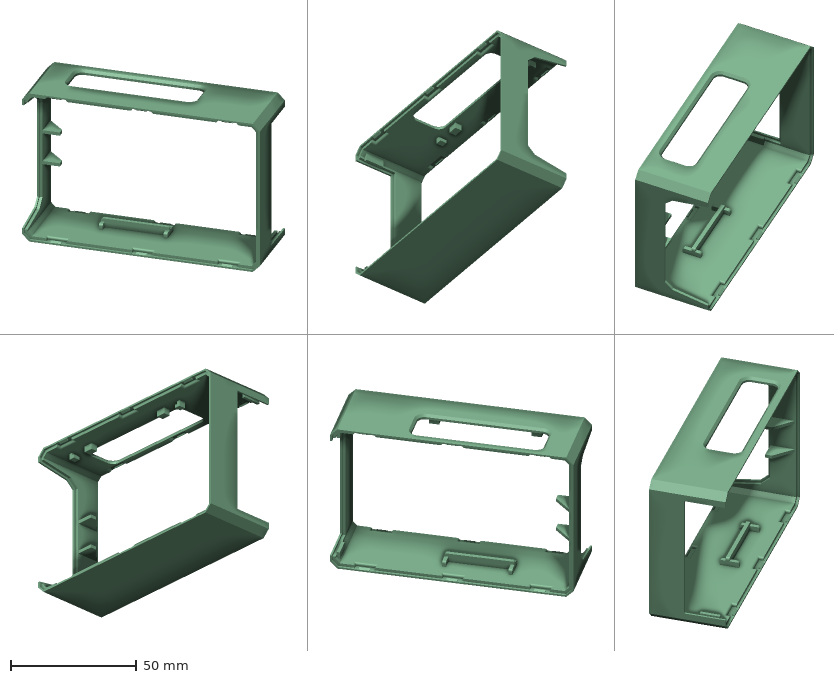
import cadquery as cq
import math

LENGTH_X = 100.0
DEPTH_Y = 32.0
HEIGHT_Z = 65.0
WALL = 2.0
CORNER_CHAMFER = 3.0

INNER_X = LENGTH_X / 2 - WALL
INNER_Z = HEIGHT_Z / 2 - WALL
RIM_Y = DEPTH_Y / 2
OVERLAP = 0.3

LIP = 0.77
REBATE_DEPTH = 1.0

WINDOW_CENTER_X = -8.95
WINDOW_CENTER_Y = 4.5
WINDOW_LENGTH = 54.2
WINDOW_WIDTH = 15.1
WINDOW_RADIUS = 3.2
WINDOW_CHAMFER = 1.0
WINDOW_FLARE_ANGLE = 45.0

LEFT_OPENING_BACK_Y = 3.0
LEFT_OPENING_BACK_HALF_Z = 21.4
LEFT_OPENING_CORNER_Y = -0.4
LEFT_OPENING_CORNER_HALF_Z = 24.5
LEFT_OPENING_RIM_HALF_Z = 27.0

RIGHT_OPENING_FRONT_Y = -1.3
RIGHT_OPENING_HALF_Z = 26.7

POCKET_POSITIONS_X = (-36.0, 0.0, 36.0)
POCKET_WIDTH = 8.2
POCKET_REACH = 2.8
POCKET_DEPTH = 1.35
POCKET_FILLET = 0.9
CATCH_WIDTH = 4.5
CATCH_HEIGHT = 0.65

HOLDER_CENTER_X = -8.5
HOLDER_LENGTH = 28.8
HOLDER_CENTER_Y = 3.1
HOLDER_BAR_THICKNESS = 1.6
HOLDER_BAR_HEIGHT = 3.85
HOLDER_FILLET = 1.0
FOOT_CENTER_Y = 3.8
FOOT_LENGTH = 8.1
FOOT_WIDTH = 1.6
FOOT_HEIGHT = 2.4

RIB_CENTERS_Z = (6.75, -6.75)
RIB_THICKNESS = 1.4
RIB_TIP_X = -40.8
RIB_FRONT_Y = 4.3
RIB_TIP_WIDTH = 2.9

GUIDE_DROP = 2.6
GUIDE_FRONT_Y = -7.5
GUIDE_THICKNESS_Y = 3.0
STOP_INNER_OFFSET = 19.0
STOP_WIDTH = 4.1
HOOK_OUTER_OFFSET = 31.9
HOOK_STEM_WIDTH = 1.4
HOOK_FOOT_WIDTH = 2.6
HOOK_FOOT_HEIGHT = 1.4

BLOCK_THICKNESS = 1.35
BLOCK_FRONT_Y = 4.6
BLOCK_BACK_Y = 12.9
BLOCK_HALF_Z = RIGHT_OPENING_HALF_Z


def box(x_range, y_range, z_range):
    """Box between the given limits."""
    limits = (x_range, y_range, z_range)
    sizes = [high - low for low, high in limits]
    return cq.Workplane("XY").box(*sizes, centered=False).translate([low for low, _ in limits])


def frame_prism(inset, y_start, y_end):
    """Solid prism of the chamfered frame outline, moved inwards by an even inset."""
    chamfer = CORNER_CHAMFER - inset * (2 - math.sqrt(2))
    return (
        cq.Workplane("XZ", origin=(0, y_start, 0))
        .rect(LENGTH_X - 2 * inset, HEIGHT_Z - 2 * inset)
        .extrude(y_start - y_end)
        .edges("|Y")
        .chamfer(chamfer)
    )


def make_frame():
    return frame_prism(0, -RIM_Y, RIM_Y).cut(frame_prism(WALL, -RIM_Y, RIM_Y))


def cut_snap_pockets(body):
    """Open pockets into the floor and ceiling at both rims and round their inner edges."""
    rounded = []
    margin = 0.05
    for x in POCKET_POSITIONS_X:
        x_range = (x - POCKET_WIDTH / 2, x + POCKET_WIDTH / 2)
        for y_range in ((-RIM_Y, POCKET_REACH - RIM_Y), (RIM_Y - POCKET_REACH, RIM_Y)):
            for side in (-1, 1):
                z_range = sorted((side * INNER_Z, side * (INNER_Z + POCKET_DEPTH)))
                body = body.cut(box(x_range, y_range, z_range))
                rounded.append((x_range, y_range, side * INNER_Z))
    for x_range, y_range, z in rounded:
        selector = cq.selectors.BoxSelector(
            (x_range[0] - margin, y_range[0] - margin, z - margin),
            (x_range[1] + margin, y_range[1] + margin, z + margin),
            boundingbox=True,
        )
        body = body.edges(selector).fillet(POCKET_FILLET)
    return body


def cut_rim_rebates(body):
    front = frame_prism(LIP, -RIM_Y, -RIM_Y + REBATE_DEPTH)
    back = frame_prism(LIP, RIM_Y - REBATE_DEPTH, RIM_Y)
    return body.cut(front).cut(back)


def make_catches():
    """Ramped catches in the pockets: upright towards the middle, sloping down to the rim."""
    pocket_floor_z = INNER_Z + POCKET_DEPTH
    catch_top_z = HEIGHT_Z / 2 - LIP - CATCH_HEIGHT
    catches = cq.Workplane("XY")
    for x in POCKET_POSITIONS_X:
        catch = (
            cq.Workplane("YZ", origin=(x - CATCH_WIDTH / 2, 0, 0))
            .moveTo(RIM_Y - REBATE_DEPTH, pocket_floor_z + OVERLAP)
            .lineTo(RIM_Y - REBATE_DEPTH, catch_top_z)
            .lineTo(RIM_Y, HEIGHT_Z / 2 - LIP)
            .lineTo(RIM_Y, pocket_floor_z + OVERLAP)
            .close()
            .extrude(CATCH_WIDTH)
        )
        pair = catch.union(catch.mirror("XZ"))
        catches = catches.union(pair).union(pair.mirror("XY"))
    return catches


def cut_window(body):
    opening = (
        cq.Workplane("XY", origin=(WINDOW_CENTER_X, WINDOW_CENTER_Y, INNER_Z))
        .rect(WINDOW_LENGTH, WINDOW_WIDTH)
        .extrude(WALL)
        .edges("|Z")
        .fillet(WINDOW_RADIUS)
    )
    flare = (
        cq.Workplane("XY", origin=(WINDOW_CENTER_X, WINDOW_CENTER_Y, HEIGHT_Z / 2))
        .sketch()
        .rect(WINDOW_LENGTH + 2 * WINDOW_CHAMFER, WINDOW_WIDTH + 2 * WINDOW_CHAMFER)
        .vertices()
        .fillet(WINDOW_RADIUS + WINDOW_CHAMFER)
        .finalize()
        .extrude(-WINDOW_CHAMFER, taper=WINDOW_FLARE_ANGLE)
    )
    return body.cut(opening).cut(flare)


def left_opening_profile(plane_x):
    """Tapered opening outline, carried on in front of the rim at the same taper."""
    taper = (LEFT_OPENING_RIM_HALF_Z - LEFT_OPENING_CORNER_HALF_Z) / (RIM_Y + LEFT_OPENING_CORNER_Y)
    run_out = 2 * WALL
    upper = [
        (-RIM_Y - run_out, LEFT_OPENING_RIM_HALF_Z + taper * run_out),
        (LEFT_OPENING_CORNER_Y, LEFT_OPENING_CORNER_HALF_Z),
        (LEFT_OPENING_BACK_Y, LEFT_OPENING_BACK_HALF_Z),
    ]
    lower = [(y, -z) for y, z in reversed(upper)]
    return cq.Workplane("YZ", origin=(plane_x, 0, 0)).polyline(upper + lower).close()


def right_opening_profile(plane_x):
    """Rectangular opening outline, carried on behind the rim."""
    run_out = 2 * WALL
    length = RIM_Y + run_out - RIGHT_OPENING_FRONT_Y
    center_y = RIGHT_OPENING_FRONT_Y + length / 2
    return cq.Workplane("YZ", origin=(plane_x, center_y, 0)).rect(length, 2 * RIGHT_OPENING_HALF_Z)


def cut_side_openings(body):
    """Cut each opening through its wall, then widen it on the inner side to leave the lip."""
    rebate = WALL - LIP
    left = left_opening_profile(-LENGTH_X / 2).extrude(WALL)
    left_rebate = left_opening_profile(-INNER_X - rebate)
    left_rebate = left_rebate.offset2D(REBATE_DEPTH, "intersection").extrude(rebate)
    right = right_opening_profile(INNER_X).extrude(WALL)
    right_rebate = right_opening_profile(INNER_X)
    right_rebate = right_rebate.offset2D(REBATE_DEPTH, "intersection").extrude(rebate)
    return body.cut(left).cut(left_rebate).cut(right).cut(right_rebate)


def make_holder():
    """Upright bar across two low feet."""
    x_start = HOLDER_CENTER_X - HOLDER_LENGTH / 2
    x_end = HOLDER_CENTER_X + HOLDER_LENGTH / 2
    base_z = -INNER_Z - OVERLAP
    bar_y = (HOLDER_CENTER_Y - HOLDER_BAR_THICKNESS / 2, HOLDER_CENTER_Y + HOLDER_BAR_THICKNESS / 2)
    foot_y = (FOOT_CENTER_Y - FOOT_LENGTH / 2, FOOT_CENTER_Y + FOOT_LENGTH / 2)
    foot_z = (base_z, FOOT_HEIGHT - INNER_Z)
    holder = box((x_start, x_end), bar_y, (base_z, HOLDER_BAR_HEIGHT - INNER_Z))
    holder = holder.edges(">Z and |Y").fillet(HOLDER_FILLET)
    for foot_x in (x_start, x_end - FOOT_WIDTH):
        foot = box((foot_x, foot_x + FOOT_WIDTH), foot_y, foot_z)
        holder = holder.union(foot.edges(">Z and |X").fillet(HOLDER_FILLET))
    return holder


def make_ribs():
    """Flat ribs whose back edge runs at 45 degrees from the tip to the wall."""
    root_x = -INNER_X - OVERLAP
    tip_back_y = RIB_FRONT_Y + RIB_TIP_WIDTH
    root_back_y = tip_back_y + RIB_TIP_X - root_x
    outline = [
        (root_x, RIB_FRONT_Y),
        (RIB_TIP_X, RIB_FRONT_Y),
        (RIB_TIP_X, tip_back_y),
        (root_x, root_back_y),
    ]
    ribs = cq.Workplane("XY")
    for z in RIB_CENTERS_Z:
        plane = cq.Workplane("XY", origin=(0, 0, z - RIB_THICKNESS / 2))
        ribs = ribs.union(plane.polyline(outline).close().extrude(RIB_THICKNESS))
    return ribs


def make_guides():
    """A plain stop and an inward hook on either side of the window's centre line."""
    y_range = (GUIDE_FRONT_Y, GUIDE_FRONT_Y + GUIDE_THICKNESS_Y)
    bottom_z = INNER_Z - GUIDE_DROP
    full_z = (bottom_z, INNER_Z + OVERLAP)
    foot_z = (bottom_z, bottom_z + HOOK_FOOT_HEIGHT)
    stop = box((STOP_INNER_OFFSET, STOP_INNER_OFFSET + STOP_WIDTH), y_range, full_z)
    stem = box((HOOK_OUTER_OFFSET - HOOK_STEM_WIDTH, HOOK_OUTER_OFFSET), y_range, full_z)
    foot = box((HOOK_OUTER_OFFSET - HOOK_FOOT_WIDTH, HOOK_OUTER_OFFSET), y_range, foot_z)
    side = stop.union(stem).union(foot)
    return side.union(side.mirror("YZ")).translate((WINDOW_CENTER_X, 0, 0))


def make_corner_blocks():
    """Blocks on the inner face of the +X wall, in its lower and upper corners."""
    x_range = (INNER_X - BLOCK_THICKNESS, INNER_X)
    block = box(x_range, (BLOCK_FRONT_Y, BLOCK_BACK_Y), (BLOCK_HALF_Z, INNER_Z + OVERLAP))
    return block.union(block.mirror("XY"))


result = make_frame()
result = cut_snap_pockets(result)
result = cut_rim_rebates(result)
result = cut_window(result)
result = cut_side_openings(result)
result = result.union(make_catches())
result = result.union(make_holder())
result = result.union(make_ribs())
result = result.union(make_guides())
result = result.union(make_corner_blocks())